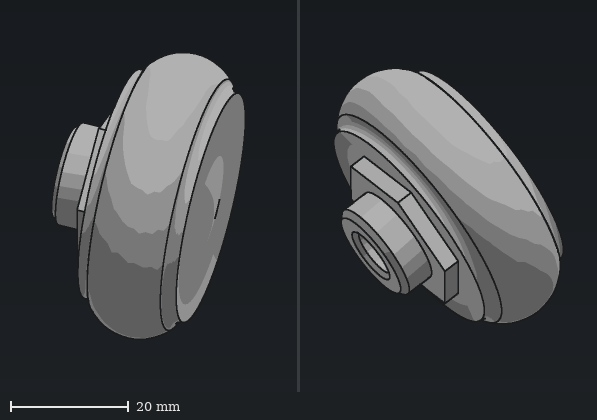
import cadquery as cq
import math

wheel_radius = 24.85
body_start = 8.4
body_end = 25.9
body_middle = (body_start + body_end) / 2

tread_width = 13.0
tread_edge_radius = 21.95
rim_radius = 20.05
tread_start = body_middle - tread_width / 2
tread_end = body_middle + tread_width / 2

recess_outer_radius = 19.9
recess_floor_radius = 17.0
recess_depth = 0.5

dome_radius = 8.95
dome_tip = 26.4

hex_start = 5.95
hex_across_flats = 25.0
hex_across_corners = hex_across_flats / math.cos(math.radians(30))
nose_diameter = 18.0
nose_chamfer = 1.05

hole_diameter = 8.4
hole_mouth_diameter = 10.05
hole_depth = 12.4
drill_tip_angle = 118.0


def revolve_about_x(profile):
    """Revolve a closed XY profile, with Y as radius, about the X axis."""
    return profile.close().revolve(360, (0, 0, 0), (1, 0, 0))


def cove_midpoint(face_x, edge_x):
    """Midpoint of the concave cove between the rim and the tread."""
    across = math.sin(math.radians(45))
    rise = 1 - math.cos(math.radians(45))
    return (
        face_x + (edge_x - face_x) * across,
        rim_radius + (tread_edge_radius - rim_radius) * rise,
    )


def make_wheel():
    left_floor = body_start + recess_depth
    right_floor = body_end - recess_depth
    return revolve_about_x(
        cq.Workplane("XY")
        .moveTo(left_floor, 0)
        .lineTo(left_floor, recess_floor_radius)
        .lineTo(body_start, recess_outer_radius)
        .lineTo(body_start, rim_radius)
        .threePointArc(cove_midpoint(body_start, tread_start), (tread_start, tread_edge_radius))
        .threePointArc((body_middle, wheel_radius), (tread_end, tread_edge_radius))
        .threePointArc(cove_midpoint(body_end, tread_end), (body_end, rim_radius))
        .lineTo(body_end, recess_outer_radius)
        .lineTo(right_floor, recess_floor_radius)
        .lineTo(right_floor, 0)
    )


def make_dome():
    floor = body_end - recess_depth
    height = dome_tip - floor
    sphere_radius = (dome_radius**2 + height**2) / (2 * height)
    half_angle = math.asin(dome_radius / sphere_radius) / 2
    arc_middle = (
        dome_tip - sphere_radius * (1 - math.cos(half_angle)),
        sphere_radius * math.sin(half_angle),
    )
    return revolve_about_x(
        cq.Workplane("XY")
        .moveTo(body_middle, 0)
        .lineTo(body_middle, dome_radius)
        .lineTo(floor, dome_radius)
        .threePointArc(arc_middle, (dome_tip, 0))
    )


def make_hexagon():
    return (
        cq.Workplane("YZ", origin=(hex_start, 0, 0))
        .transformed(rotate=(0, 0, 90))
        .polygon(6, hex_across_corners)
        .extrude(body_middle - hex_start)
    )


def make_nose():
    return cq.Workplane("YZ").circle(nose_diameter / 2).extrude(body_middle).faces("<X").chamfer(nose_chamfer)


def make_hole():
    hole_radius = hole_diameter / 2
    mouth_radius = hole_mouth_diameter / 2
    tip_length = hole_radius / math.tan(math.radians(drill_tip_angle / 2))
    return revolve_about_x(
        cq.Workplane("XY")
        .moveTo(0, 0)
        .lineTo(0, mouth_radius)
        .lineTo(mouth_radius - hole_radius, hole_radius)
        .lineTo(hole_depth, hole_radius)
        .lineTo(hole_depth + tip_length, 0)
    )


result = (
    make_wheel()
    .union(make_dome())
    .union(make_hexagon())
    .union(make_nose())
    .cut(make_hole())
)